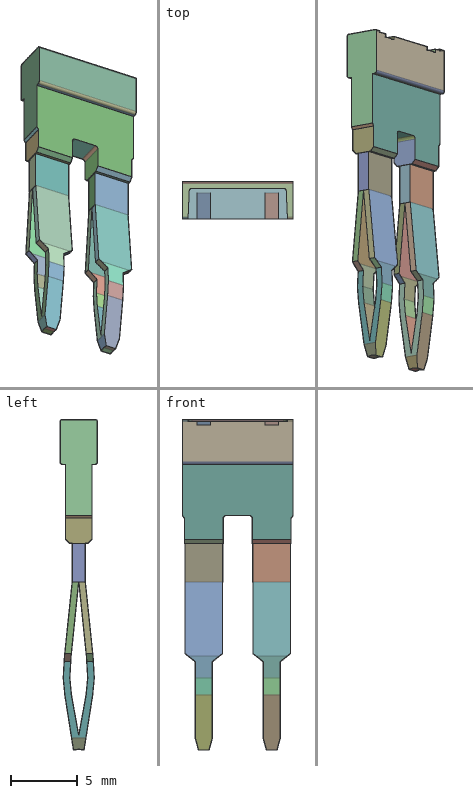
import cadquery as cq

total_height = 24.72
pin_pitch = 5.08
pin_centres = (-pin_pitch / 2, pin_pitch / 2)

cap_width = 8.3
cap_depth = 2.8
cap_height = 3.36
cap_top_radius = 0.15
cap_bottom_radius = 0.2
body_depth = 2.0
housing_height = 9.25
leg_height = 2.08
leg_outer_half = 4.0
leg_inner_half = 1.08
leg_bottom_chamfer = 0.3
shoulder_drop = 0.2
slot_corner_radius = 0.22

recess_depth = 0.15
recess_length = 2.3
recess_front_half = 3.72
recess_back_half = 3.62
recess_corner_radius = 0.2
ramp_width = 0.98
ramp_length = 1.94
ramp_drop = 0.25

neck_width = 2.84
leaf_width = 2.82
neck_depth = 1.0
neck_height = 2.91
blade_width = 1.3
tip_width = 0.8
tip_taper_height = 0.92
shoulder_top_z = 7.22
shoulder_bottom_z = 6.62
leaf_bend_z = 7.04
bulge_z = 5.41
blade_bend_z = 4.13
leaf_close_z = 1.15
leaf_bend_half = 1.075
bulge_half = 1.17
blade_bend_half = 1.05
tip_half = 0.4
leaf_thickness = 0.51
tip_notch = 0.06

cap_bottom_z = total_height - cap_height
housing_bottom_z = total_height - housing_height
shoulder_z = housing_bottom_z + leg_height
split_z = housing_bottom_z - neck_height
cap_front_y = -cap_depth / 2
recess_floor_z = total_height - recess_depth


def mirrored(right_points, bottom_centre=()):
    """Outline from its right half, top to bottom, with any points on the centre line at the bottom."""
    left_points = [(-across, z) for across, z in reversed(right_points)]
    return [*right_points, *bottom_centre, *left_points]


def extrude_along_y(points, depth):
    return cq.Workplane("XZ").polyline(points).close().extrude(depth / 2, both=True)


def extrude_along_x(points, width):
    return cq.Workplane("YZ").polyline(points).close().extrude(width / 2, both=True)


def make_housing_blank():
    """Cap above a thinner body, trimmed to the front outline with its shoulders."""
    centred = (True, True, False)
    cap = cq.Workplane("XY", origin=(0, 0, cap_bottom_z)).box(
        cap_width, cap_depth, cap_height, centered=centred
    )
    cap = cap.edges("|X and >Z").fillet(cap_top_radius)
    cap = cap.edges("|X and <Z").fillet(cap_bottom_radius)
    body_height = housing_height - cap_height
    body = cq.Workplane("XY", origin=(0, 0, housing_bottom_z)).box(
        cap_width, body_depth, body_height, centered=centred
    )
    body = body.edges("|X and <Z").chamfer(leg_bottom_chamfer)
    front_profile = mirrored([
        (cap_width / 2, total_height),
        (cap_width / 2, shoulder_z),
        (leg_outer_half, shoulder_z - shoulder_drop),
        (leg_outer_half, housing_bottom_z),
    ])
    outline = extrude_along_y(front_profile, cap_depth)
    return cap.union(body).intersect(outline)


def make_leg_slot():
    slot = cq.Workplane("XY").box(2 * leg_inner_half, cap_depth, leg_height, centered=(True, True, False))
    return slot.edges("|Y and >Z").fillet(slot_corner_radius).translate((0, 0, housing_bottom_z))


def make_recess():
    back_y = cap_front_y + recess_length
    recess = (
        cq.Workplane("XY", origin=(0, 0, recess_floor_z))
        .polyline(mirrored([(recess_front_half, cap_front_y), (recess_back_half, back_y)]))
        .close()
        .extrude(recess_depth)
    )
    return recess.edges("|Z and >Y").fillet(recess_corner_radius)


def make_ramp(centre_x):
    """Wedge that falls from the recess floor towards the front face."""
    wedge = [
        (cap_front_y, recess_floor_z),
        (cap_front_y + ramp_length, recess_floor_z),
        (cap_front_y, recess_floor_z - ramp_drop),
    ]
    return extrude_along_x(wedge, ramp_width).translate((centre_x, 0, 0))


housing = make_housing_blank().cut(make_leg_slot()).cut(make_recess())
for centre_x in pin_centres:
    housing = housing.cut(make_ramp(centre_x))


def make_pin(centre_x):
    """Neck that splits into two sprung leaves, bowed outwards and joined at the tip."""
    outside = mirrored([
        (neck_depth / 2, housing_bottom_z),
        (neck_depth / 2, split_z),
        (leaf_bend_half, leaf_bend_z),
        (bulge_half, bulge_z),
        (blade_bend_half, blade_bend_z),
        (tip_half, 0),
    ], [(0, tip_notch)])
    leaf_gap = [(0, split_z)] + mirrored([
        (leaf_bend_half - leaf_thickness, leaf_bend_z),
        (bulge_half - leaf_thickness, bulge_z),
        (blade_bend_half - leaf_thickness, blade_bend_z),
    ], [(0, leaf_close_z)])
    width_profile = mirrored([
        (neck_width / 2, housing_bottom_z),
        (neck_width / 2, split_z),
        (leaf_width / 2, split_z),
        (leaf_width / 2, shoulder_top_z),
        (blade_width / 2, shoulder_bottom_z),
        (blade_width / 2, tip_taper_height),
        (tip_width / 2, 0),
    ])
    pin = extrude_along_x(outside, neck_width).cut(extrude_along_x(leaf_gap, neck_width))
    pin = pin.intersect(extrude_along_y(width_profile, cap_depth))
    return pin.translate((centre_x, 0, 0))


pins = [make_pin(centre_x) for centre_x in pin_centres]

result = cq.Compound.makeCompound([housing.val(), *[pin.val() for pin in pins]])